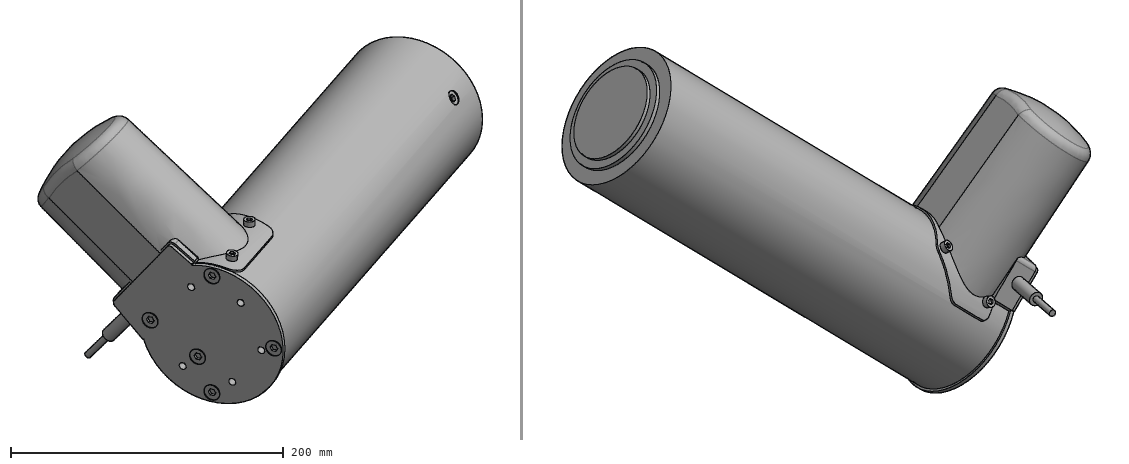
import cadquery as cq
import math

TOTAL_LENGTH = 370.0

TUBE_RADIUS = 55.5
TUBE_END = 363.7
COLLAR_RADIUS = 44.0
COLLAR_END = 367.0
HUB_RADIUS = 37.5
SIDE_SCREW_Y = 335.0
SIDE_SCREW_ANGLE = 35.0
SIDE_SCREW_DIAMETER = 11.0
SIDE_SCREW_RECESS = 1.0

PLATE_RADIUS = 57.5
PLATE_THICKNESS = 3.5
BOLT_CIRCLE_RADIUS = 49.5
BOLT_DIAMETER = 12.5
BOLT_RECESS = 0.7
EXTRA_BOLT = (-11.5, -22.0)
BOLT_SOCKET = 6.0
BOLT_SOCKET_DEPTH = 3.0
PIN_CIRCLE_RADIUS = 40.0
PIN_FIRST_ANGLE = 54.4
PIN_DIAMETER = 5.5
PIN_DEPTH = 7.5
SKIPPED_PIN = 2

MOTOR_ANGLE = 141.5
MOTOR_Y = 40.5
MOTOR_ROOT = 18.5
MOTOR_CROWN = 169.0
MOTOR_HALF_DEPTH = 38.5
MOTOR_HALF_FLAT = 18.5
MOTOR_HALF_WIDTH = 50.0
MOTOR_DRAFT = 1.0
CROWN_RADIUS = 107.3
CROWN_FILLET = 9.0

LUG_ROOT_UPPER = (47.5, 33.5)
LUG_END_UPPER = (69.2, 32.2)
LUG_END_LOWER = (67.5, -43.5)
LUG_ROOT_LOWER = (32.2, -48.0)
LUG_CORNER_RADIUS = 3.0

BLOCK_LIP = 1.5
BLOCK_UPPER_DEPTH = 9.5
BLOCK_LOWER_DEPTH = 23.0

CABLE_REACH = 51.5
CABLE_Y = 11.0
GLAND_DIAMETER = 10.7
GLAND_END = 76.5
CABLE_DIAMETER = 5.0
CABLE_END = 103.2
CABLE_START = 29.5

SADDLE_RADIUS = 57.0
SADDLE_TOP_X = 19.5
SADDLE_BOTTOM_Z = -33.3
SADDLE_FAR_Y = 83.2
SADDLE_TOP_FAR_Y = 71.8
SADDLE_TOP_NEAR_Y = 5.0
SADDLE_BOTTOM_NEAR_Y = 20.5
SADDLE_CORNER_RADIUS = 9.5
SADDLE_BOTTOM_CORNER = 4.5
SADDLE_CHAMFER_CORNER = 9.2
SADDLE_CHAMFER_Y = 26.5
SADDLE_CHAMFER_Z = 30.7
SADDLE_OVERLAP = 18.5
SADDLE_SLOPE_X = -20.5
SADDLE_SCREWS = ((90.0, 68.0), (82.5, 19.2), (180.0, 76.2), (202.0, 26.5))
SADDLE_SCREW_DIAMETER = 8.5
SADDLE_SCREW_TOP = 61.5
SADDLE_SCREW_SOCKET = 4.5
SADDLE_SCREW_SOCKET_DEPTH = 2.0


def cross_plane(y):
    """Plane square to the tube: local x is X, local y is Z, the normal is -Y."""
    return cq.Workplane("XZ", origin=(0, y, 0))


def slab(sketch_radius, start, end):
    """Disc about the tube axis between two Y positions."""
    return cross_plane(start).circle(sketch_radius).extrude(start - end)


def polar(radius, angle):
    return (radius * math.cos(math.radians(angle)), radius * math.sin(math.radians(angle)))


def radial_plane(angle, radius, y):
    """Plane whose normal points away from the tube axis; its local x is along Y."""
    x, z = polar(radius, angle)
    out_x, out_z = polar(1, angle)
    return cq.Workplane(cq.Plane(origin=(x, y, z), xDir=(0, 1, 0), normal=(out_x, 0, out_z)))


def motor_frame(reach, side):
    """X and Z of a point given along and across the motor direction."""
    along = polar(reach, MOTOR_ANGLE)
    across = polar(side, MOTOR_ANGLE - 90)
    return (along[0] + across[0], along[1] + across[1])


def make_tube():
    tube = slab(TUBE_RADIUS, 0, TUBE_END)
    tube = tube.union(slab(COLLAR_RADIUS, 0, COLLAR_END))
    return tube.union(slab(HUB_RADIUS, 0, TOTAL_LENGTH))


def make_lug(depth, lip):
    """Slab covering the lug outline, grown by a lip, with rounded outer corners."""
    ends = [
        (LUG_END_UPPER[0] + lip, LUG_END_UPPER[1] + lip),
        (LUG_END_LOWER[0] + lip, LUG_END_LOWER[1] - lip),
    ]
    root_upper = (LUG_ROOT_UPPER[0], LUG_ROOT_UPPER[1] + lip)
    root_lower = (LUG_ROOT_LOWER[0], LUG_ROOT_LOWER[1] - lip)
    outline = [(0, 0), root_upper, *ends, root_lower]
    lug = cross_plane(0).polyline([motor_frame(*corner) for corner in outline]).close().extrude(-depth)
    for corner in ends:
        x, z = motor_frame(*corner)
        near = cq.selectors.NearestToPointSelector((x, depth / 2, z))
        lug = lug.edges("|Y").edges(near).fillet(LUG_CORNER_RADIUS + lip)
    return lug


def make_terminal_block():
    """Block behind the plate lug, shallower on its upper half."""
    block = make_lug(BLOCK_LOWER_DEPTH, BLOCK_LIP).cut(slab(2 * PLATE_RADIUS, 0, PLATE_THICKNESS))
    reach = 2 * PLATE_RADIUS
    half = [motor_frame(*corner) for corner in ((0, 0), (reach, 0), (reach, reach), (0, reach))]
    upper_half = cross_plane(BLOCK_UPPER_DEPTH).polyline(half).close().extrude(-BLOCK_LOWER_DEPTH)
    return block.cut(upper_half)


def make_motor():
    """Tapered oblong housing with a domed, rounded end."""
    root_x, root_z = polar(MOTOR_ROOT, MOTOR_ANGLE)
    out_x, out_z = polar(1, MOTOR_ANGLE)
    root = cq.Plane(origin=(root_x, MOTOR_Y, root_z), xDir=(0, 1, 0), normal=(out_x, 0, out_z))
    housing = (
        cq.Workplane(root)
        .moveTo(-MOTOR_HALF_DEPTH, -MOTOR_HALF_FLAT)
        .threePointArc((0, -MOTOR_HALF_WIDTH), (MOTOR_HALF_DEPTH, -MOTOR_HALF_FLAT))
        .lineTo(MOTOR_HALF_DEPTH, MOTOR_HALF_FLAT)
        .threePointArc((0, MOTOR_HALF_WIDTH), (-MOTOR_HALF_DEPTH, MOTOR_HALF_FLAT))
        .close()
        .extrude(MOTOR_CROWN - MOTOR_ROOT, taper=MOTOR_DRAFT)
    )
    dome_x, dome_z = polar(MOTOR_CROWN - CROWN_RADIUS, MOTOR_ANGLE)
    dome = cq.Workplane("XY").sphere(CROWN_RADIUS).translate((dome_x, MOTOR_Y, dome_z))
    housing = housing.intersect(dome)
    return housing.faces("%SPHERE").edges().fillet(CROWN_FILLET)


def make_cable():
    """Stepped cable leaving the terminal block across the motor direction."""
    cable = None
    for diameter, end in ((GLAND_DIAMETER, GLAND_END), (CABLE_DIAMETER, CABLE_END)):
        x, z = motor_frame(CABLE_REACH, -CABLE_START)
        dx, dz = polar(1, MOTOR_ANGLE + 90)
        start = cq.Plane(origin=(x, CABLE_Y, z), xDir=(0, 1, 0), normal=(dx, 0, dz))
        piece = cq.Workplane(start).circle(diameter / 2).extrude(end - CABLE_START)
        cable = piece if cable is None else cable.union(piece)
    return cable


def make_saddle():
    """Thin flange on the tube, trimmed by its top and side outlines."""
    ring = slab(SADDLE_RADIUS, 0, SADDLE_FAR_Y)
    reach = 2 * SADDLE_RADIUS
    upper = (
        cq.Workplane("XY")
        .moveTo(-reach, SADDLE_TOP_NEAR_Y)
        .lineTo(SADDLE_TOP_X, SADDLE_TOP_NEAR_Y)
        .lineTo(SADDLE_TOP_X, SADDLE_TOP_FAR_Y)
        .lineTo(SADDLE_SLOPE_X, SADDLE_FAR_Y)
        .lineTo(-reach, SADDLE_FAR_Y)
        .close()
        .extrude(reach)
        .edges("|Z and >X")
        .fillet(SADDLE_CORNER_RADIUS)
    )
    chamfer_ends = (
        (SADDLE_FAR_Y - SADDLE_CHAMFER_Y, SADDLE_BOTTOM_Z),
        (SADDLE_FAR_Y, SADDLE_BOTTOM_Z + SADDLE_CHAMFER_Z),
    )
    lower = (
        cq.Workplane("YZ")
        .moveTo(SADDLE_BOTTOM_NEAR_Y, 0)
        .lineTo(SADDLE_BOTTOM_NEAR_Y, SADDLE_BOTTOM_Z)
        .lineTo(*chamfer_ends[0])
        .lineTo(*chamfer_ends[1])
        .lineTo(SADDLE_FAR_Y, SADDLE_OVERLAP)
        .lineTo(SADDLE_BOTTOM_NEAR_Y, SADDLE_OVERLAP)
        .close()
        .extrude(-reach)
        .edges("|X")
        .edges("<Y and <Z")
        .fillet(SADDLE_BOTTOM_CORNER)
    )
    for corner in chamfer_ends:
        near = cq.selectors.NearestToPointSelector((-reach / 2, *corner))
        lower = lower.edges("|X").edges(near).fillet(SADDLE_CHAMFER_CORNER)
    return ring.intersect(upper.union(lower))


def add_saddle_screws(body):
    for angle, y in SADDLE_SCREWS:
        head = radial_plane(angle, TUBE_RADIUS - 3.7, y).circle(SADDLE_SCREW_DIAMETER / 2)
        body = body.union(head.extrude(SADDLE_SCREW_TOP - TUBE_RADIUS + 3.7))
        socket = radial_plane(angle, SADDLE_SCREW_TOP, y).polygon(6, SADDLE_SCREW_SOCKET)
        body = body.cut(socket.extrude(-SADDLE_SCREW_SOCKET_DEPTH))
    return body


def cut_side_screw(body):
    recess = radial_plane(SIDE_SCREW_ANGLE, TUBE_RADIUS - SIDE_SCREW_RECESS, SIDE_SCREW_Y)
    body = body.cut(recess.circle(SIDE_SCREW_DIAMETER / 2).extrude(3.7))
    socket = radial_plane(SIDE_SCREW_ANGLE, TUBE_RADIUS, SIDE_SCREW_Y).polygon(6, BOLT_SOCKET)
    return body.cut(socket.extrude(-SIDE_SCREW_RECESS - BOLT_SOCKET_DEPTH))


def cut_plate_bolts(body):
    bolts = [polar(BOLT_CIRCLE_RADIUS, 90 * i) for i in range(4)] + [EXTRA_BOLT]
    heads = cross_plane(0).pushPoints(bolts).circle(BOLT_DIAMETER / 2).extrude(-BOLT_RECESS)
    sockets = cross_plane(0).pushPoints(bolts).polygon(6, BOLT_SOCKET).extrude(-BOLT_SOCKET_DEPTH)
    return body.cut(heads).cut(sockets)


def cut_pin_holes(body):
    angles = [PIN_FIRST_ANGLE + 60 * i for i in range(6) if i != SKIPPED_PIN]
    pins = cross_plane(0).pushPoints([polar(PIN_CIRCLE_RADIUS, a) for a in angles])
    return body.cut(pins.circle(PIN_DIAMETER / 2).extrude(-PIN_DEPTH))


body = make_tube()
body = body.union(slab(PLATE_RADIUS, 0, PLATE_THICKNESS))
body = body.union(make_lug(PLATE_THICKNESS, 0))
body = body.union(make_saddle())
body = body.union(make_motor())
body = body.union(make_terminal_block())
body = body.union(make_cable())
body = add_saddle_screws(body)
body = cut_side_screw(body)
body = cut_plate_bolts(body)
body = cut_pin_holes(body)

result = body